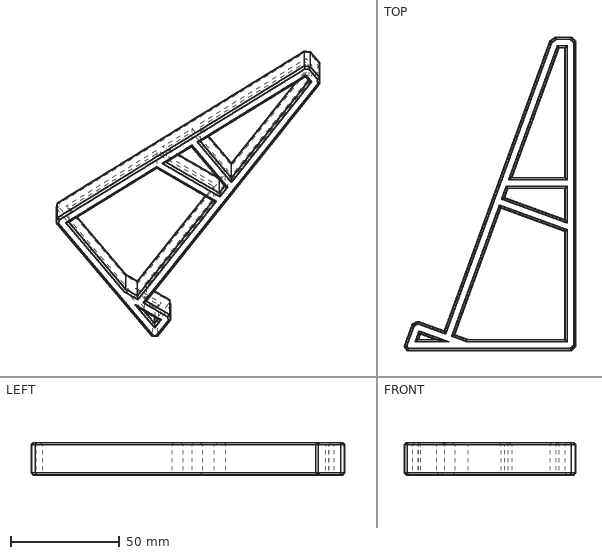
import cadquery as cq
import math

base_length = 80.0
upright_height = 145.0
thickness = 15.0
wall = 5.0
tilt = 20.0
foot_length = 15.0
ledge_length = 15.0
cross_bar_bottom = 75.0
brace_distance = 65.0
corner_chamfer = 2.0
edge_chamfer = 1.0

sin_tilt = math.sin(math.radians(tilt))
cos_tilt = math.cos(math.radians(tilt))
tan_tilt = sin_tilt / cos_tilt

base_top = wall
upright_inner = base_length - wall
top_bar_bottom = upright_height - wall
cross_bar_top = cross_bar_bottom + wall


def tilted_point(across, along):
    """Point in axes turned by the tilt: along the ledge, then along the strut."""
    x = across * cos_tilt + along * sin_tilt
    y = along * cos_tilt - across * sin_tilt
    return (x, y)


def strut_face_at(across, y):
    """Point at height y on a line parallel to the strut."""
    return (across / cos_tilt + y * tan_tilt, y)


def ledge_face_at_x(along, x):
    """Point at position x on a line parallel to the ledge."""
    return (x, along / cos_tilt - x * tan_tilt)


def ledge_face_at_y(along, y):
    """Point at height y on a line parallel to the ledge."""
    return ((along / cos_tilt - y) / tan_tilt, y)


strut_outer = ledge_length
strut_inner = strut_outer + wall
brace_lower = foot_length + brace_distance - wall / 2
brace_upper = brace_lower + wall


def prism(points):
    """Upright block of full thickness over a closed outline."""
    return cq.Workplane("XY").polyline(points).close().extrude(thickness)


def frame_blank():
    """Solid outline with its outward vertical corners chamfered."""
    foot_corner = (0.0, 0.0)
    base_corner = (base_length, 0.0)
    upright_corner = (base_length, upright_height)
    strut_corner = strut_face_at(strut_outer, upright_height)
    strut_root = tilted_point(strut_outer, foot_length)
    foot_tip = tilted_point(0.0, foot_length)

    blank = prism([foot_corner, base_corner, upright_corner, strut_corner, strut_root, foot_tip])
    for x, y in (foot_corner, base_corner, upright_corner, strut_corner, foot_tip):
        corner_edge = cq.selectors.NearestToPointSelector((x, y, thickness / 2))
        blank = blank.edges(corner_edge).chamfer(corner_chamfer)
    return blank


def foot_window():
    """Small triangle inside the foot."""
    return [
        strut_face_at(wall, base_top),
        ledge_face_at_y(foot_length - wall, base_top),
        tilted_point(wall, foot_length - wall),
    ]


def lower_window():
    """Opening between base, upright, brace and strut, cut across by the ledge line."""
    return [
        ledge_face_at_y(foot_length, base_top),
        (upright_inner, base_top),
        ledge_face_at_x(brace_lower, upright_inner),
        tilted_point(strut_inner, brace_lower),
        tilted_point(strut_inner, foot_length),
    ]


def middle_window():
    """Opening between the brace and the level cross bar."""
    return [
        tilted_point(strut_inner, brace_upper),
        ledge_face_at_x(brace_upper, upright_inner),
        (upright_inner, cross_bar_bottom),
        strut_face_at(strut_inner, cross_bar_bottom),
    ]


def upper_window():
    """Tall opening above the level cross bar."""
    return [
        strut_face_at(strut_inner, cross_bar_top),
        (upright_inner, cross_bar_top),
        (upright_inner, top_bar_bottom),
        strut_face_at(strut_inner, top_bar_bottom),
    ]


frame = frame_blank()
for window in (foot_window(), lower_window(), middle_window(), upper_window()):
    frame = frame.cut(prism(window))

result = frame.faces("<Z or >Z").chamfer(edge_chamfer)